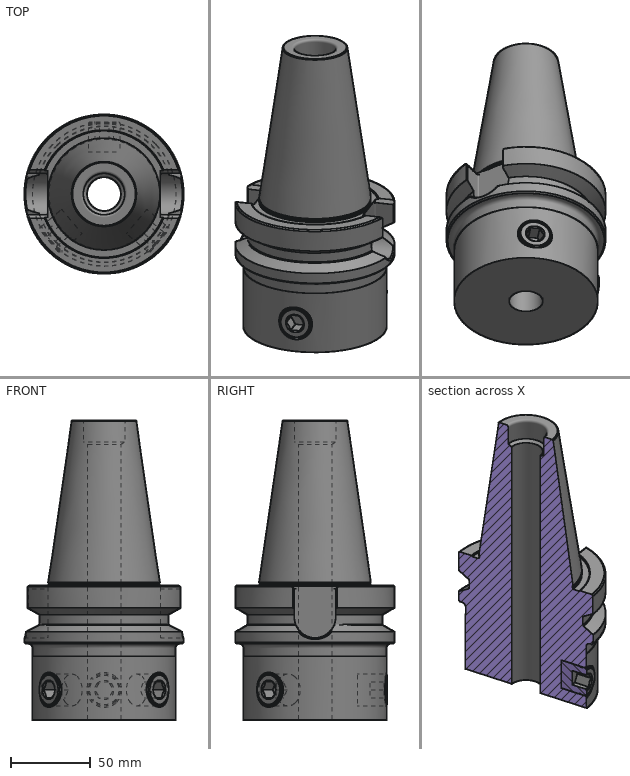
import cadquery as cq
import math

height = 187.8

base_radius = 45.0
base_top = 39.8
neck_radius = 44.9
neck_fillet = 2.6

flange_radius = 50.0
flange_bottom = 47.7
flange_top = 84.3
flange_chamfer = 1.0
groove_radius = 42.5
groove_floor_bottom = 59.5
groove_floor_top = 66.0
groove_fillet = 0.8
groove_angle = 60.0
groove_wall_height = (flange_radius - groove_radius) / math.tan(math.radians(groove_angle))

recess_radius = 39.6
recess_depth = 0.5
recess_floor = flange_top - recess_depth

gauge_radius = 35.1
taper_ratio = 7 / 24
undercut_top = 86.2
undercut_depth = 0.5
undercut_floor_width = 0.5
tip_chamfer = 0.5
tip_radius = gauge_radius - (height - undercut_top) * taper_ratio / 2

bore_radius = 10.5
counterbore_radius = 13.0
counterbore_depth = 13.5
counterbore_rounding = 1.7
shoulder_angle = 59.0

slot_half_width = 13.0
slot_floor_distance = 35.3
slot_bottom = 51.5
slot_floor_fillet = 0.8
slot_top_chamfer = 2.3
slot_rim_chamfer = 1.0

edge_margin = 0.2

screw_angles = [90.0, 220.0, 320.0]
screw_height = 19.0
screw_radius = 10.0
screw_length = 18.8
screw_face_distance = 45.3
screw_chamfer = 0.8
screw_hole_chamfer = 1.0
socket_sides = 6
socket_across_flats = 10.0
socket_depth = 10.9
socket_rim_radius = 6.0


def turned_blank():
    """Turned outer shape of the holder, solid."""
    undercut_radius = gauge_radius - undercut_depth
    undercut_bottom = undercut_top - undercut_floor_width - 2 * undercut_depth
    profile = (
        cq.Workplane("XZ")
        .lineTo(base_radius, 0)
        .lineTo(base_radius, base_top)
        .lineTo(neck_radius, base_top)
        .lineTo(neck_radius, flange_bottom - neck_fillet)
        .radiusArc((neck_radius + neck_fillet, flange_bottom), neck_fillet)
        .lineTo(flange_radius - flange_chamfer, flange_bottom)
        .lineTo(flange_radius, flange_bottom + flange_chamfer)
        .lineTo(flange_radius, groove_floor_bottom - groove_wall_height)
        .lineTo(groove_radius, groove_floor_bottom)
        .lineTo(groove_radius, groove_floor_top)
        .lineTo(flange_radius, groove_floor_top + groove_wall_height)
        .lineTo(flange_radius, flange_top - flange_chamfer)
        .lineTo(flange_radius - flange_chamfer, flange_top)
        .lineTo(recess_radius + recess_depth, flange_top)
        .lineTo(recess_radius, recess_floor)
        .lineTo(gauge_radius, recess_floor)
        .lineTo(gauge_radius, undercut_bottom)
        .lineTo(undercut_radius, undercut_bottom + undercut_depth)
        .lineTo(undercut_radius, undercut_top - undercut_depth)
        .lineTo(gauge_radius, undercut_top)
        .lineTo(tip_radius + tip_chamfer * taper_ratio / 2, height - tip_chamfer)
        .lineTo(tip_radius - tip_chamfer, height)
        .lineTo(0, height)
        .close()
    )
    blank = profile.revolve(360, (0, 0, 0), (0, 1, 0))
    groove_lower_corner = cq.selectors.BoxSelector(
        (-height, -height, groove_floor_bottom - edge_margin),
        (height, height, groove_floor_bottom + edge_margin),
    )
    return blank.edges(groove_lower_corner).fillet(groove_fillet)


def stepped_bore():
    """Through bore with a rounded-entry counterbore at the taper end."""
    shoulder = height - counterbore_depth
    shoulder_drop = (counterbore_radius - bore_radius) / math.tan(math.radians(shoulder_angle))
    profile = (
        cq.Workplane("XZ")
        .lineTo(bore_radius, 0)
        .lineTo(bore_radius, shoulder - shoulder_drop)
        .lineTo(counterbore_radius, shoulder)
        .lineTo(counterbore_radius, height - counterbore_rounding)
        .radiusArc((counterbore_radius + counterbore_rounding, height), counterbore_rounding)
        .lineTo(0, height)
        .close()
    )
    return profile.revolve(360, (0, 0, 0), (0, 1, 0))


def drive_slot():
    """Cutter for the +X drive slot: round-bottomed, with a chamfered top edge."""
    arc_center = slot_bottom + slot_half_width
    length = flange_radius
    channel = (
        cq.Workplane("YZ", origin=(slot_floor_distance, 0, 0))
        .moveTo(-slot_half_width, height)
        .lineTo(-slot_half_width, arc_center)
        .threePointArc((0, slot_bottom), (slot_half_width, arc_center))
        .lineTo(slot_half_width, height)
        .close()
        .extrude(length)
        .faces("<X")
        .edges()
        .fillet(slot_floor_fillet)
    )
    top_half_width = slot_half_width + slot_top_chamfer
    top_bevel = (
        cq.Workplane("YZ", origin=(slot_floor_distance, 0, 0))
        .moveTo(-slot_half_width, flange_top - slot_top_chamfer)
        .lineTo(slot_half_width, flange_top - slot_top_chamfer)
        .lineTo(top_half_width, flange_top)
        .lineTo(-top_half_width, flange_top)
        .close()
        .extrude(length)
    )
    stock_top = cq.Workplane("XY").box(4 * length, 4 * length, flange_top, centered=(True, True, False))
    return channel.intersect(stock_top).union(top_bevel)


def around_base(body, angle):
    """Turn a body modelled along +X to its place around the axis, at screw height."""
    return body.rotate((0, 0, 0), (0, 0, 1), angle).translate((0, 0, screw_height))


def screw_hole():
    """Cutter for one blind screw hole, along +X, open at the outside."""
    start = screw_face_distance - screw_length
    return cq.Workplane("YZ", origin=(start, 0, 0)).circle(screw_radius).extrude(2 * screw_length)


def set_screw():
    """Set screw along +X with a chamfered face and a hexagon socket."""
    start = screw_face_distance - screw_length
    body = (
        cq.Workplane("YZ", origin=(start, 0, 0))
        .circle(screw_radius)
        .extrude(screw_length)
        .faces(">X")
        .chamfer(screw_chamfer)
    )
    across_corners = socket_across_flats / math.cos(math.radians(180 / socket_sides))
    socket = (
        cq.Workplane("YZ", origin=(screw_face_distance, 0, 0))
        .polygon(socket_sides, across_corners)
        .extrude(-socket_depth)
    )
    rim = cq.Workplane("XY").add(
        cq.Solid.makeCone(
            socket_rim_radius, 0, socket_rim_radius, cq.Vector(screw_face_distance, 0, 0), cq.Vector(-1, 0, 0)
        )
    )
    return body.cut(socket).cut(rim)


def chamfer_slot_rims(holder):
    """Break the edges where the slot walls cut the cylindrical rims of the flange."""
    wall_top = flange_top - slot_top_chamfer
    lower_rim_top = groove_floor_bottom - groove_wall_height
    upper_rim_bottom = groove_floor_top + groove_wall_height
    for side in (-1, 1):
        lower_edge = cq.selectors.BoxSelector(
            (side * recess_radius, -slot_half_width, slot_bottom - edge_margin),
            (side * height, slot_half_width, lower_rim_top - edge_margin),
        )
        holder = holder.edges(lower_edge).chamfer(slot_rim_chamfer)
        upper_edges = cq.selectors.BoxSelector(
            (side * groove_radius, -slot_half_width - edge_margin, upper_rim_bottom + edge_margin),
            (side * height, slot_half_width + edge_margin, wall_top - edge_margin),
        )
        holder = holder.edges(upper_edges).chamfer(slot_rim_chamfer)
    return holder


def chamfer_screw_holes(holder):
    """Break the edges where the screw holes open in the base cylinder."""
    edges = holder.edges("%BSPLINE").edges(
        cq.selectors.BoxSelector((-height, -height, 0), (height, height, base_top))
    )
    return edges.chamfer(screw_hole_chamfer)


def make_holder():
    """Tool holder: turned blank with screw holes, drive slots and bore."""
    holder = turned_blank().rotate((0, 0, 0), (0, 0, 1), -90)
    for angle in screw_angles:
        holder = holder.cut(around_base(screw_hole(), angle))
    holder = chamfer_screw_holes(holder)
    for slot_angle in (0, 180):
        holder = holder.cut(drive_slot().rotate((0, 0, 0), (0, 0, 1), slot_angle))
    holder = chamfer_slot_rims(holder)
    return holder.cut(stepped_bore())


holder = make_holder()
screws = [around_base(set_screw(), angle) for angle in screw_angles]
result = cq.Compound.makeCompound([holder.val(), *[screw.val() for screw in screws]])